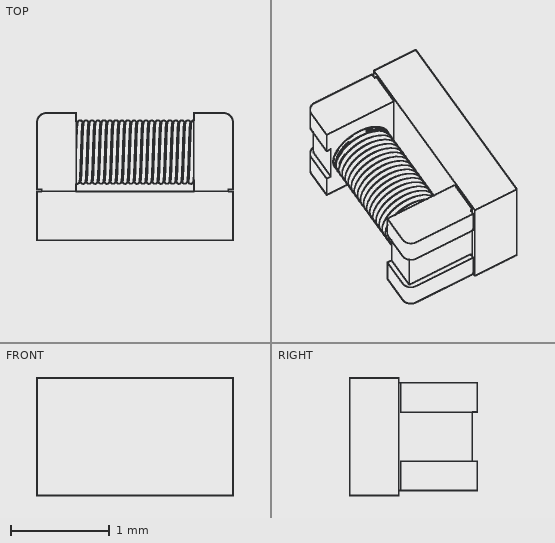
import cadquery as cq


cap_length = 2.0
cap_thickness = 0.5
cap_height = 1.2

part_depth = 1.3
core_height = 1.1
contact_thickness = 0.05
flange_gap = 1.2
flange_outer_x = cap_length / 2 - contact_thickness
flange_inner_x = flange_gap / 2
flange_width = flange_outer_x - flange_inner_x
flange_end_y = part_depth - contact_thickness

contact_height = 0.3
contact_corner_radius = 0.1
contact_clearance = 0.02
contact_start_y = cap_thickness + contact_clearance
contact_width = cap_length / 2 - flange_inner_x
contact_middle_z = (core_height - contact_height) / 2

coil_outer_diameter = 0.65
wire_diameter = 0.05
wire_sink = 0.01
coil_pitch = 0.061
coil_embed = 0.036
coil_axis_y = (cap_thickness + part_depth) / 2
coil_mean_radius = (coil_outer_diameter - wire_diameter) / 2
rod_radius = coil_mean_radius - wire_diameter / 2 + wire_sink
coil_length = flange_gap + 2 * coil_embed


def make_cap():
    """Cap block across the whole width of the part."""
    block = cq.Workplane("XY").box(cap_length, cap_thickness, cap_height)
    return block.translate((0, cap_thickness / 2, 0))


def make_flange(side):
    """Core flange on the side given by the sign of X."""
    depth = flange_end_y - cap_thickness
    middle_x = side * (flange_inner_x + flange_width / 2)
    middle_y = cap_thickness + depth / 2
    block = cq.Workplane("XY").box(flange_width, depth, core_height)
    return block.translate((middle_x, middle_y, 0))


def make_contact(side, level):
    """Contact on the sides given by the signs of X and Z, rounded at its outer corner."""
    depth = part_depth - contact_start_y
    middle_x = side * (flange_inner_x + contact_width / 2)
    middle_y = contact_start_y + depth / 2
    outer_corner = "|Z and >Y and >X" if side > 0 else "|Z and >Y and <X"
    block = cq.Workplane("XY").box(contact_width, depth, contact_height)
    block = block.edges(outer_corner).fillet(contact_corner_radius)
    return block.translate((middle_x, middle_y, level * contact_middle_z))


def make_rod():
    """Round core rod joining the two flanges."""
    return (
        cq.Workplane("YZ", origin=(-flange_inner_x, coil_axis_y, 0))
        .circle(rod_radius)
        .extrude(flange_gap)
    )


def make_coil():
    """Left-handed round-wire helix about the rod, its ends buried in the flanges."""
    start = cq.Vector(-coil_length / 2, coil_axis_y, 0)
    helix = cq.Wire.makeHelix(
        coil_pitch, coil_length, coil_mean_radius, start, cq.Vector(1, 0, 0), lefthand=True
    )
    section = cq.Plane(origin=helix.startPoint(), normal=helix.tangentAt(0))
    return cq.Workplane(section).circle(wire_diameter / 2).sweep(cq.Workplane(helix), isFrenet=True)


result = make_rod().union(make_coil())
for side in (-1, 1):
    result = result.union(make_flange(side))
    for level in (-1, 1):
        result = result.union(make_contact(side, level))
result = result.union(make_cap())